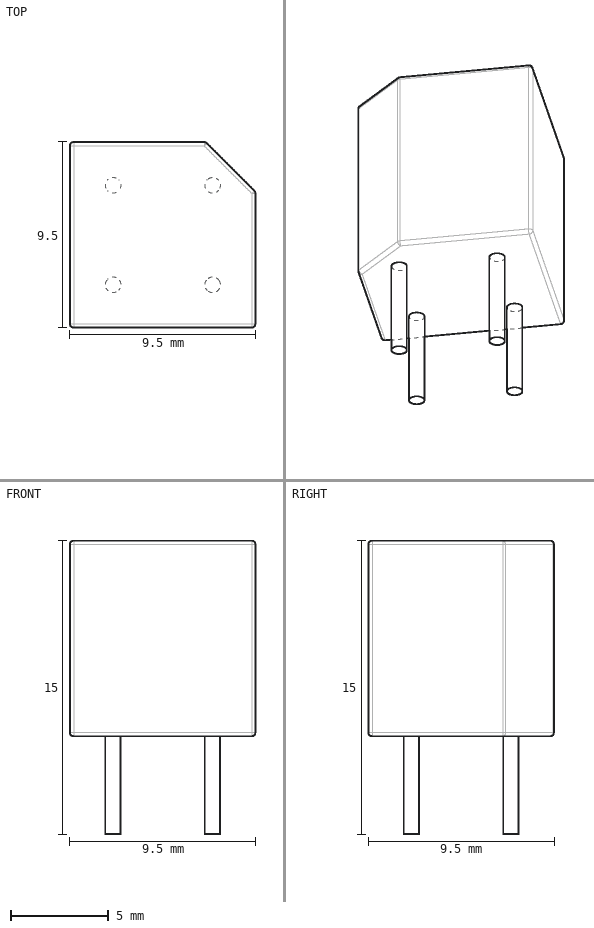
import cadquery as cq

total_height = 15.0
housing_width = 9.5
housing_height = 10.0
corner_cut = 2.55
edge_radius = 0.2

pin_diameter = 0.8
pin_spacing = 5.08
pin_length = total_height - housing_height

half_width = housing_width / 2


def make_housing():
    """Block with one cut-off corner and all edges rounded, standing on Z = 0."""
    outline = [
        (-half_width, -half_width),
        (half_width, -half_width),
        (half_width, half_width - corner_cut),
        (half_width - corner_cut, half_width),
        (-half_width, half_width),
    ]
    block = cq.Workplane("XY").polyline(outline).close().extrude(housing_height)
    return block.edges().fillet(edge_radius)


def make_pin(x, y):
    """Round pin hanging from the underside of the housing."""
    return cq.Workplane("XY").center(x, y).circle(pin_diameter / 2).extrude(-pin_length)


housing = make_housing()

pins = []
for x_side in (-1, 1):
    for y_side in (-1, 1):
        pins.append(make_pin(x_side * pin_spacing / 2, y_side * pin_spacing / 2))

result = cq.Compound.makeCompound([housing.val(), *[pin.val() for pin in pins]])